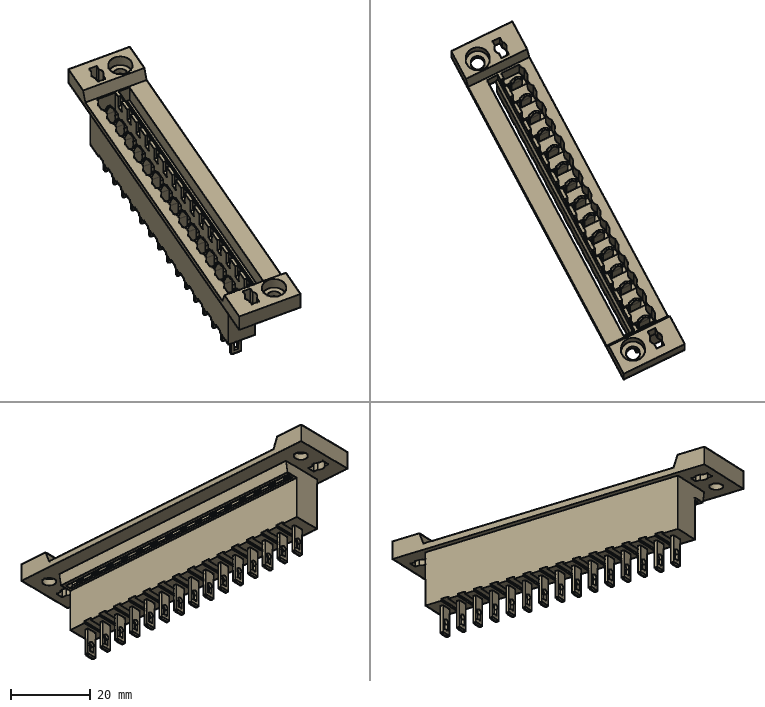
import cadquery as cq


flange_length = 96.1
flange_width = 17.4
ear_top_z = 5.0
ear_flat = 8.3
ear_run = 1.25
rail_top_z = 1.7

row_x = -0.1
contact_count = 15
pitch = 5.075
contact_y = -3.4
contact_xs = [row_x + (i - (contact_count - 1) / 2) * pitch for i in range(contact_count)]
gap_xs = [x + pitch / 2 for x in contact_xs[:-1]]

cavity_length = contact_count * pitch
end_wall = 0.9
body_length = cavity_length + 2 * end_wall
body_front_y = -7.1
body_back_y = 0.5
body_bottom_z = -15.0
latch_top_y = 4.5
latch_bottom_y = 3.9
latch_bottom_z = -3.2

slot_front_y = 0.6
slot_back_y = 3.7
slot_narrowing = 0.7
throat_front_y = slot_front_y + slot_narrowing
throat_back_y = slot_back_y - slot_narrowing
slot_lip_z = -2.9

comb_front_y = -0.4
comb_slot_width = 2.0
comb_slot_floor_z = -1.9
comb_web = 0.3
window_height = 0.8
cavity_front_y = -6.15
cavity_floor_z = -4.8
pocket_floor_z = -6.7
scallop_rise = 0.7

hole_offset_x = 43.3
hole_y = 3.7
hole_diameter = 3.6
counterbore_diameter = 6.15
counterbore_depth = 3.2
key_y = -2.9
key_length = 5.0
key_width = 2.1
key_diameter = 3.2

blade_thickness = 0.9
blade_width = 2.9
blade_top_z = 0.5
tail_tip_z = -23.0
tail_tip_height = 0.5
tail_tip_size = (0.3, 2.0)
head_height = 1.9
head_size = (0.6, 0.7)
eye_slot_width = 1.2
eye_diameter = 1.4
eye_center_z = -19.1
eye_bottom_z = -21.3

groove_width = 2.2
groove_depth = 0.6


def box(length, y_range, z_range, x=row_x):
    """Box centred on x, spanning the given Y and Z ranges."""
    size = (length, y_range[1] - y_range[0], z_range[1] - z_range[0])
    return cq.Workplane("XY").box(*size, centered=(True, False, False)).translate((x, y_range[0], z_range[0]))


def prism_along_x(points, length, x=row_x):
    """Extrude a closed YZ outline along X, centred on x."""
    return cq.Workplane("YZ").polyline(points).close().extrude(length / 2, both=True).translate((x, 0, 0))


def make_flange():
    half = flange_length / 2
    ear_edge = half - ear_flat
    rail_edge = ear_edge - ear_run
    outline = [
        (-half, 0), (half, 0), (half, ear_top_z), (ear_edge, ear_top_z), (rail_edge, rail_top_z),
        (-rail_edge, rail_top_z), (-ear_edge, ear_top_z), (-half, ear_top_z),
    ]
    return cq.Workplane("XZ").polyline(outline).close().extrude(flange_width / 2, both=True)


def make_body():
    outline = [
        (body_front_y, 0), (body_front_y, body_bottom_z), (body_back_y, body_bottom_z),
        (body_back_y, latch_bottom_z), (latch_bottom_y, latch_bottom_z), (latch_top_y, 0),
    ]
    return prism_along_x(outline, body_length)


def make_latch_slot():
    outline = [
        (slot_front_y, rail_top_z), (slot_front_y, comb_slot_floor_z), (throat_front_y, latch_bottom_z),
        (throat_back_y, latch_bottom_z), (throat_back_y, slot_lip_z),
        (slot_back_y, slot_lip_z), (slot_back_y, rail_top_z),
    ]
    return prism_along_x(outline, cavity_length)


def make_cavity():
    """Contact cavity whose front wall bulges inwards between the contacts."""
    cavity = box(cavity_length, (cavity_front_y, comb_front_y), (cavity_floor_z, rail_top_z))
    cavity_half = cavity_length / 2
    for x in [row_x - cavity_half] + gap_xs + [row_x + cavity_half]:
        cavity = cavity.cut(make_bump(x))
    return cavity


def make_bump(x):
    half_bump = (pitch - comb_slot_width) / 2
    profile = (
        cq.Workplane("XY", origin=(x, cavity_front_y, cavity_floor_z))
        .moveTo(-half_bump, 0).threePointArc((0, scallop_rise), (half_bump, 0)).close()
    )
    return profile.extrude(rail_top_z - cavity_floor_z)


def drill_ears(housing):
    for x in (row_x - hole_offset_x, row_x + hole_offset_x):
        screw_axis = cq.Workplane("XY", origin=(x, hole_y, ear_top_z))
        screw_hole = screw_axis.circle(hole_diameter / 2).extrude(-ear_top_z)
        counterbore = screw_axis.circle(counterbore_diameter / 2).extrude(-counterbore_depth)
        key_axis = cq.Workplane("XY", origin=(x, key_y, ear_top_z))
        key_slot = key_axis.rect(key_length, key_width).extrude(-ear_top_z)
        key_round = key_axis.circle(key_diameter / 2).extrude(-ear_top_z)
        for cutter in (screw_hole, counterbore, key_slot, key_round):
            housing = housing.cut(cutter)
    return housing


def tapered_end(base_z, end_z, end_size):
    """Frustum from the blade section at base_z to a smaller flat at end_z."""
    return (
        cq.Workplane("XY", origin=(0, contact_y, base_z))
        .rect(blade_thickness, blade_width)
        .workplane(offset=end_z - base_z).rect(*end_size).loft(combine=True)
    )


def make_contact():
    """Flat blade at X = 0 with tapered ends and a keyhole-shaped solder eye in its tail."""
    shoulder_z = tail_tip_z + tail_tip_height
    head_z = blade_top_z - head_height
    y_range = (contact_y - blade_width / 2, contact_y + blade_width / 2)
    blade = box(blade_thickness, y_range, (shoulder_z, head_z), 0)
    head = tapered_end(head_z, blade_top_z, head_size)
    tip = tapered_end(shoulder_z, tail_tip_z, tail_tip_size)
    eye_y = (contact_y - eye_slot_width / 2, contact_y + eye_slot_width / 2)
    eye_slot = box(blade_thickness, eye_y, (eye_bottom_z, eye_center_z), 0)
    eye_round = (
        cq.Workplane("YZ").center(contact_y, eye_center_z)
        .circle(eye_diameter / 2).extrude(blade_thickness / 2, both=True)
    )
    return blade.union(head).union(tip).cut(eye_slot).cut(eye_round)


housing = make_flange().union(make_body())
housing = housing.cut(make_latch_slot()).cut(make_cavity())
housing = drill_ears(housing)

for x in contact_xs:
    comb_slot = box(
        comb_slot_width, (comb_front_y, slot_front_y - comb_web), (comb_slot_floor_z, rail_top_z), x
    )
    window_z = (comb_slot_floor_z, comb_slot_floor_z + window_height)
    window = box(comb_slot_width, (comb_front_y, slot_front_y), window_z, x)
    pocket = box(comb_slot_width, (cavity_front_y, comb_front_y), (pocket_floor_z, cavity_floor_z), x)
    housing = housing.cut(comb_slot).cut(window).cut(pocket)

for x in gap_xs:
    groove_z = (body_bottom_z, body_bottom_z + groove_depth)
    housing = housing.cut(box(groove_width, (body_front_y, body_back_y), groove_z, x))

contact = make_contact()
for x in contact_xs:
    housing = housing.union(contact.translate((x, 0, 0)))

result = housing